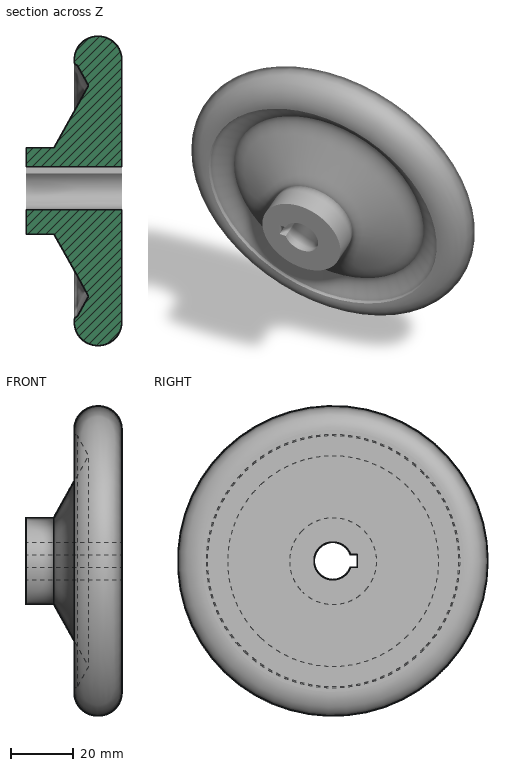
import cadquery as cq
import math

wheel_diameter = 100.0
wheel_width = 31.0
rim_width = 15.5
groove_outer_radius = 40.5
rim_lip_radius = 40.9
hub_diameter = 28.0
hub_length = 9.0
bore_diameter = 12.0
key_width = 4.0
key_reach = 7.8
dish_radius = 34.0
dish_depth = 20.1
groove_edge = 16.5

wheel_radius = wheel_diameter / 2
hub_radius = hub_diameter / 2
rim_round = rim_width / 2
rim_center_x = wheel_width - rim_round
round_center_radius = wheel_radius - rim_round
lip_x = rim_center_x - math.sqrt(rim_round**2 - (round_center_radius - rim_lip_radius) ** 2)


def make_wheel():
    """Revolve the half section: hub, conical web and rounded rim."""
    section = (
        cq.Workplane("XY")
        .moveTo(0, 0)
        .lineTo(0, hub_radius)
        .lineTo(hub_length, hub_radius)
        .lineTo(dish_depth, dish_radius)
        .lineTo(groove_edge, groove_outer_radius)
        .lineTo(lip_x, rim_lip_radius)
        .threePointArc((rim_center_x, wheel_radius), (wheel_width, round_center_radius))
        .lineTo(wheel_width, 0)
        .close()
    )
    return section.revolve(360, (0, 0, 0), (1, 0, 0))


def make_bore():
    """Through bore with a keyway on the +Y side."""
    bore = cq.Workplane("YZ").circle(bore_diameter / 2).extrude(wheel_width)
    keyway = cq.Workplane("XY").box(
        wheel_width, key_reach, key_width, centered=(False, False, True)
    )
    return bore.union(keyway)


result = make_wheel().cut(make_bore())